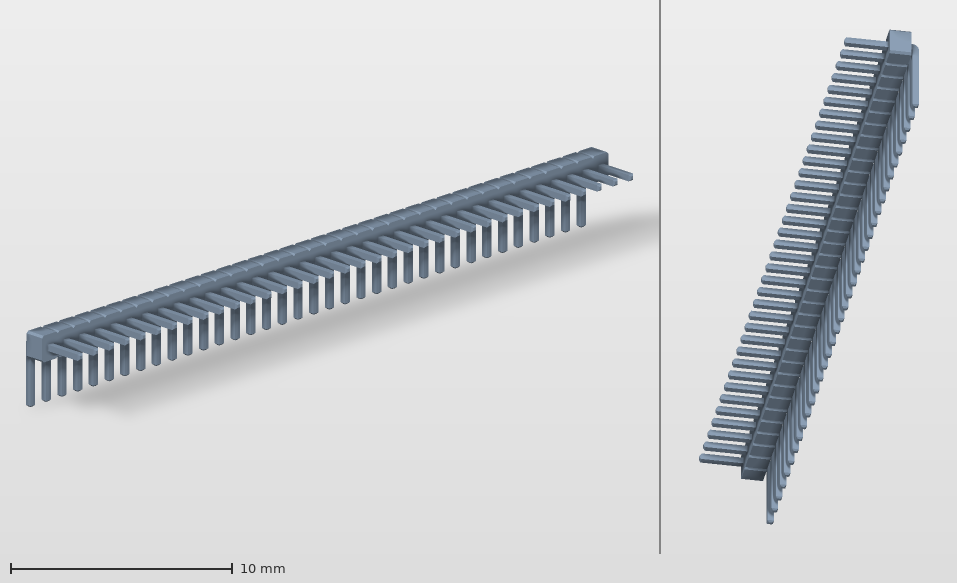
import cadquery as cq

PIN_COUNT = 36
PITCH = 1.0
OVERALL_DEPTH = 3.4
OVERALL_HEIGHT = 3.77

HOUSING_DEPTH = 1.0
HOUSING_HEIGHT = 1.27
GROOVE_DEPTH = 0.1
HOUSING_LENGTH = PIN_COUNT * PITCH

PIN_SIZE = 0.3
BEND_RADIUS = 0.3
TIP_CHAMFER = PIN_SIZE / 4
LEG_TO_HOUSING = 0.1

leg_back_x = -HOUSING_DEPTH / 2 - LEG_TO_HOUSING - PIN_SIZE
pin_tip_x = leg_back_x + OVERALL_DEPTH
leg_tip_z = HOUSING_HEIGHT / 2 - OVERALL_HEIGHT
pin_top_z = PIN_SIZE / 2
first_pin_y = -(PIN_COUNT - 1) * PITCH / 2
pin_positions = [first_pin_y + i * PITCH for i in range(PIN_COUNT)]


def make_housing():
    """Housing bar with V grooves across its top and bottom at every joint between cells.

    The two outermost grooves fall half outside and so chamfer the ends of the bar.
    """
    bar = cq.Workplane("XY").box(HOUSING_DEPTH, HOUSING_LENGTH, HOUSING_HEIGHT)
    for joint in range(PIN_COUNT + 1):
        joint_y = joint * PITCH - HOUSING_LENGTH / 2
        for face_z in (HOUSING_HEIGHT / 2, -HOUSING_HEIGHT / 2):
            bar = bar.cut(make_groove(joint_y, face_z))
    return bar


def make_groove(joint_y, face_z):
    """Bar of diamond section along X; the half of it inside the housing is the V groove."""
    diamond = (
        cq.Workplane("YZ", origin=(-HOUSING_DEPTH / 2, joint_y, face_z))
        .moveTo(-GROOVE_DEPTH, 0)
        .lineTo(0, GROOVE_DEPTH)
        .lineTo(GROOVE_DEPTH, 0)
        .lineTo(0, -GROOVE_DEPTH)
        .close()
    )
    return diamond.extrude(HOUSING_DEPTH)


def make_pin(pin_y):
    """One L-shaped square pin with a rounded outer bend and tapered tips."""
    profile = (
        cq.Workplane("XZ", origin=(0, PIN_SIZE / 2, 0))
        .moveTo(leg_back_x, leg_tip_z)
        .lineTo(leg_back_x, pin_top_z)
        .lineTo(pin_tip_x, pin_top_z)
        .lineTo(pin_tip_x, pin_top_z - PIN_SIZE)
        .lineTo(leg_back_x + PIN_SIZE, pin_top_z - PIN_SIZE)
        .lineTo(leg_back_x + PIN_SIZE, leg_tip_z)
        .close()
    )
    pin = profile.extrude(PIN_SIZE)
    pin = pin.edges("|Y").edges("<X").edges(">Z").fillet(BEND_RADIUS)
    pin = pin.faces("<Z").chamfer(TIP_CHAMFER)
    pin = pin.faces(">X").chamfer(TIP_CHAMFER)
    return pin.translate((0, pin_y, 0))


def make_header():
    """Housing and pins joined into a single solid."""
    pins = [make_pin(pin_y).val() for pin_y in pin_positions]
    joined = make_housing().val().fuse(*pins)
    return cq.Workplane("XY").newObject(joined.Solids())


result = make_header()